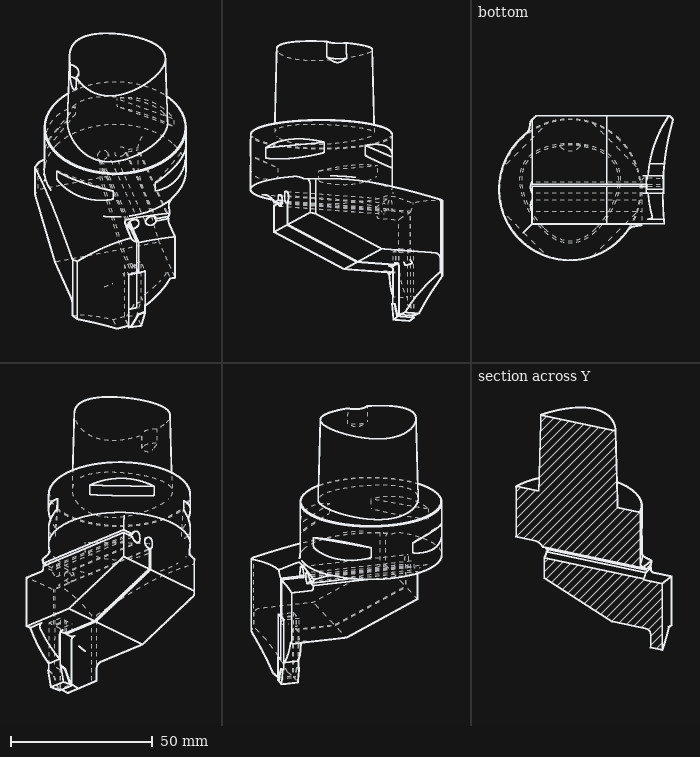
import cadquery as cq
import math


overall_length = 95.0

shank_length = 30.0
lobe_mean_radius = 17.6
lobe_eccentricity = 1.2
taper_ratio = 20
shank_patches = 6
points_per_patch = 5

notch_radius = 4.6
notch_axis_y = -18.1
notch_depth = 5.6
notch_cone_angle = 40

flange_radius = 50.0 / 2
flange_height = 20.0
flange_chamfer = 0.3
groove_floor_distance = 22.2
groove_top = -8.2
groove_floor_height = 3.7
groove_wall_angle = 30
groove_fillet = 0.9
groove_count = 4
groove_start_angle = 45
groove_margin = 0.95

head_left = -13.3
head_back = 12.2
head_front = -26.0
head_right_back = 33.3
head_right_waist = 32.8
head_right_front = 36.4
waist_y = -1.7
front_left_chamfer = 1.5
front_right_chamfer_x = 1.2
front_right_chamfer_y = 1.4
head_bottom = -45.4
slant_top = -33.9
slant_end_x = 13.0
cove_radius = 3.8

shoulder_drop = 1.0
shoulder_angle = 15
shoulder_fillet = 1.2

relief_hole_radius = 2.0
relief_hole_z = -23.8
back_hole_y = 5.7
slit_hole_y = -0.8
back_slit_width = 1.0
back_slit_floor = -24.4
upright_slit_width = 0.8
upright_slit_y = -1.4

step_x = 25.4
step_floor = -26.2
step_cove_radius = 4.3
step_cove_y = 0.2
step_wall_fillet = 0.8

blade_bottom = -63.9
blade_inner_x = 27.5
blade_inner_radius = 42.75
blade_axis_y = -1.9
blade_fillet = 1.7
blade_back_y = 10.45
blade_back_mid = (5.9, -52.25)
blade_back_end_z = -56.3
blade_flat_front_y = -9.1
blade_front_z = -52.2

insert_back = 1.3
insert_front = -4.75
insert_left = 27.3
insert_right = head_right_waist
insert_top = -40.2
insert_tip = shank_length - overall_length
insert_tip_y = -0.14
insert_heel_rise = 0.4
rake_start = -58.9
tip_overhang = 0.3
tip_pad_inner_edge = [(-1.1, -59.5), (-3.7, -64.2)]

reach = 57.0
flange_bottom = -flange_height


def circle_point(centre_u, centre_v, radius, angle):
    """Point on a circle at an angle in degrees."""
    turn = math.radians(angle)
    return (centre_u + radius * math.cos(turn), centre_v + radius * math.sin(turn))


def box_between(low, high):
    """Box given by two opposite corners."""
    size = [b - a for a, b in zip(low, high)]
    return cq.Workplane("XY").box(*size, centered=False).translate(low)


def lobed_wire(mean_radius, z):
    """Closed three-lobed curve, one edge per lobe and one per flank."""
    def point(angle):
        along = mean_radius * math.cos(angle) + lobe_eccentricity * math.cos(2 * angle)
        across = mean_radius * math.sin(angle) - lobe_eccentricity * math.sin(2 * angle)
        return cq.Vector(-across, along, z)

    sweep = 2 * math.pi / shank_patches
    edges = []
    for patch in range(shank_patches):
        start = (patch - 0.5) * sweep
        steps = [start + sweep * i / points_per_patch for i in range(points_per_patch + 1)]
        edges.append(cq.Edge.makeSpline([point(angle) for angle in steps]))
    return cq.Wire.assembleEdges(edges)


def make_shank():
    """Tapered lobed shank with a drilled notch at its free end."""
    taper = shank_length / taper_ratio / 2
    base = lobed_wire(lobe_mean_radius, 0)
    end = lobed_wire(lobe_mean_radius - taper, shank_length)
    shank = cq.Workplane(cq.Solid.makeLoft([base, end], True))
    notch_floor = shank_length - notch_depth
    cone_depth = notch_radius * math.tan(math.radians(notch_cone_angle))
    notch = (
        cq.Workplane("XZ", origin=(0, notch_axis_y, 0))
        .polyline([
            (0, notch_floor - cone_depth),
            (notch_radius, notch_floor),
            (notch_radius, shank_length),
            (0, shank_length),
        ])
        .close()
        .revolve(360, (0, 0, 0), (0, 1, 0))
    )
    return shank.cut(notch)


def make_flange():
    """Round flange with trapezoidal gripper grooves across its rim."""
    flange = (
        cq.Workplane("XY", origin=(0, 0, flange_bottom))
        .circle(flange_radius)
        .extrude(flange_height)
        .faces(">Z")
        .edges()
        .chamfer(flange_chamfer)
    )
    depth = flange_radius - groove_floor_distance + groove_margin
    flare = depth * math.tan(math.radians(groove_wall_angle))
    groove_bottom = groove_top - groove_floor_height
    groove = (
        cq.Workplane("XZ")
        .polyline([
            (groove_floor_distance, groove_top),
            (groove_floor_distance + depth, groove_top + flare),
            (groove_floor_distance + depth, groove_bottom - flare),
            (groove_floor_distance, groove_bottom),
        ])
        .close()
        .extrude(flange_radius, both=True)
        .edges(cq.NearestToPointSelector((groove_floor_distance, 0, groove_bottom)))
        .fillet(groove_fillet)
    )
    for i in range(groove_count):
        turn = groove_start_angle + 360 / groove_count * i
        flange = flange.cut(groove.rotate((0, 0, 0), (0, 0, 1), turn))
    return flange


def plan_prism():
    """Outline of the head seen along Z, open to the left and back for the coves."""
    left = head_left - 2 * cove_radius
    back = head_back + 2 * cove_radius
    chamfer_x = head_left + front_left_chamfer
    return (
        cq.Workplane("XY")
        .moveTo(left, back)
        .lineTo(head_right_back, back)
        .lineTo(head_right_back, head_back)
        .threePointArc(
            (head_right_waist, waist_y),
            (head_right_front, head_front + front_right_chamfer_y),
        )
        .lineTo(head_right_front - front_right_chamfer_x, head_front)
        .lineTo(chamfer_x, head_front)
        .lineTo(left, head_front + chamfer_x - left)
        .close()
        .extrude(-2 * reach)
    )


def shoulder_body():
    """Round body that limits the head to a cone blended into the flange rim."""
    tilt = math.radians(shoulder_angle)
    corner_z = flange_bottom - shoulder_drop
    blend_x = flange_radius + shoulder_fillet
    blend_z = corner_z + shoulder_fillet * (1 / math.cos(tilt) - math.tan(tilt))
    blend_end = 270 - shoulder_angle
    return (
        cq.Workplane("XZ")
        .moveTo(0, 0)
        .lineTo(flange_radius, 0)
        .lineTo(flange_radius, blend_z)
        .threePointArc(
            circle_point(blend_x, blend_z, shoulder_fillet, (180 + blend_end) / 2),
            circle_point(blend_x, blend_z, shoulder_fillet, blend_end),
        )
        .lineTo(flange_radius + reach, corner_z - reach * math.tan(tilt))
        .lineTo(flange_radius + reach, -2 * reach)
        .lineTo(0, -2 * reach)
        .close()
        .revolve(360, (0, 0, 0), (0, 1, 0))
    )


def make_head():
    """Offset block below the flange, with coves along its left and back sides."""
    cove_end = flange_bottom - cove_radius
    left_profile = (
        cq.Workplane("XZ")
        .moveTo(head_left - cove_radius, flange_bottom)
        .threePointArc(
            circle_point(head_left - cove_radius, cove_end, cove_radius, 45),
            (head_left, cove_end),
        )
        .lineTo(head_left, slant_top)
        .lineTo(slant_end_x, head_bottom)
        .lineTo(reach, head_bottom)
        .lineTo(reach, flange_bottom)
        .close()
        .extrude(reach, both=True)
    )
    back_profile = (
        cq.Workplane("YZ")
        .moveTo(head_back + cove_radius, flange_bottom)
        .threePointArc(
            circle_point(head_back + cove_radius, cove_end, cove_radius, 135),
            (head_back, cove_end),
        )
        .lineTo(head_back, head_bottom)
        .lineTo(-reach, head_bottom)
        .lineTo(-reach, flange_bottom)
        .close()
        .extrude(reach, both=True)
    )
    return plan_prism().intersect(left_profile).intersect(back_profile).intersect(shoulder_body())


def make_blade():
    """Curved plate under the head that backs the insert on both sides."""
    blade_axis_x = blade_inner_x + blade_inner_radius
    inner_round = (
        cq.Workplane("XZ", origin=(blade_axis_x, blade_axis_y, 0))
        .moveTo(0, head_bottom)
        .lineTo(blade_inner_radius + blade_fillet, head_bottom)
        .threePointArc(
            circle_point(blade_inner_radius + blade_fillet, head_bottom - blade_fillet, blade_fillet, 135),
            (blade_inner_radius, head_bottom - blade_fillet),
        )
        .lineTo(blade_inner_radius, blade_bottom)
        .lineTo(0, blade_bottom)
        .close()
        .revolve(360, (0, 0, 0), (0, 1, 0))
    )
    side_profile = (
        cq.Workplane("YZ")
        .moveTo(blade_back_y, head_bottom)
        .threePointArc(blade_back_mid, (insert_back, blade_back_end_z))
        .lineTo(insert_front, blade_back_end_z)
        .lineTo(insert_front, blade_bottom)
        .lineTo(blade_flat_front_y, blade_bottom)
        .lineTo(head_front, blade_front_z)
        .lineTo(head_front, head_bottom)
        .close()
        .extrude(reach)
    )
    return plan_prism().intersect(inner_round).intersect(side_profile)


def clamping_cuts():
    """Two cross holes, the slits that run into them and the step at the finger."""
    holes = (
        cq.Workplane("YZ")
        .pushPoints([(back_hole_y, relief_hole_z), (slit_hole_y, relief_hole_z)])
        .circle(relief_hole_radius)
        .extrude(reach, both=True)
    )
    back_slit = box_between(
        (-reach, back_hole_y, back_slit_floor),
        (reach, reach, back_slit_floor + back_slit_width),
    )
    upright_slit = box_between(
        (-reach, upright_slit_y - upright_slit_width / 2, head_bottom),
        (reach, upright_slit_y + upright_slit_width / 2, relief_hole_z),
    )
    cove_z = step_floor + step_cove_radius
    step = (
        cq.Workplane("YZ", origin=(step_x, 0, 0))
        .moveTo(reach, 0)
        .lineTo(reach, step_floor)
        .lineTo(step_cove_y, step_floor)
        .threePointArc(
            circle_point(step_cove_y, cove_z, step_cove_radius, 225),
            (step_cove_y - step_cove_radius, cove_z),
        )
        .lineTo(step_cove_y - step_cove_radius, 0)
        .close()
        .extrude(reach)
        .edges(cq.NearestToPointSelector((step_x, reach / 2, step_floor)))
        .fillet(step_wall_fillet)
    )
    return holes.union(back_slit).union(upright_slit).union(step)


def make_insert():
    """Bar-shaped insert with a slightly wider cutting tip."""
    heel_z = insert_tip + insert_heel_rise
    bar = (
        cq.Workplane("YZ", origin=(insert_left, 0, 0))
        .polyline([
            (insert_back, insert_top),
            (insert_back, rake_start),
            (insert_tip_y, insert_tip),
            (insert_front, heel_z),
            (insert_front, insert_top),
        ])
        .close()
        .extrude(insert_right - insert_left)
    )
    tip_pad = (
        cq.Workplane("YZ", origin=(insert_left - tip_overhang, 0, 0))
        .polyline([
            (insert_back, rake_start),
            *tip_pad_inner_edge,
            (insert_front, heel_z),
            (insert_tip_y, insert_tip),
        ])
        .close()
        .extrude(insert_right - insert_left + 2 * tip_overhang)
    )
    return bar.union(tip_pad)


def make_housing(insert):
    """Tool body in one solid, with the pocket that holds the insert."""
    insert_window = box_between(
        (insert_left - 2 * blade_fillet, insert_front, insert_tip),
        (insert_left, insert_back, head_bottom),
    )
    return (
        make_flange()
        .union(make_head())
        .cut(clamping_cuts())
        .union(make_blade())
        .union(make_shank())
        .cut(insert_window)
        .cut(insert)
    )


insert = make_insert()
housing = make_housing(insert)

result = cq.Compound.makeCompound([*housing.solids().vals(), *insert.solids().vals()])